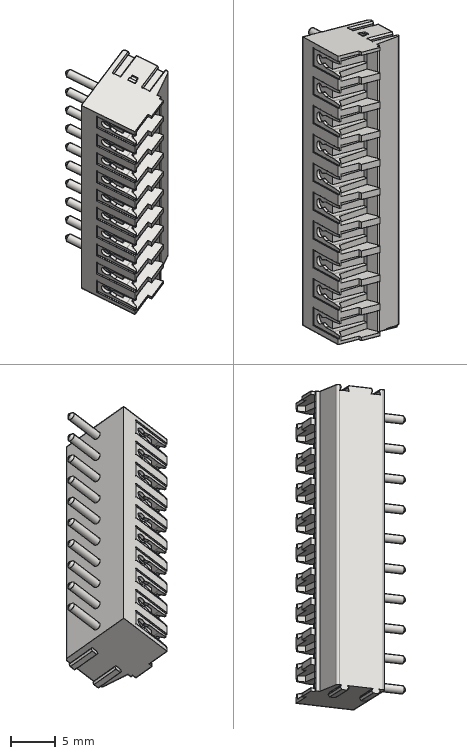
import cadquery as cq
import math


pole_count = 10
overall_length = 35.58
rib_height = 0.55
body_length = overall_length - rib_height
pitch = body_length / pole_count
body_depth = 9.15
body_width = 7.05
back_corner_radius = 0.32
back_top_x = 5.95
back_foot_x = 6.55
shoulder_y = 5.65

pin_y = 4.15
pin_length = 4.52
pin_diameter = 0.95
pin_tip_chamfer = 0.32
pin_embed = 0.7

ledge_projection = 0.5
ledge_height = 0.8
ledge_y_min = 2.8
ledge_y_max = 5.37

recess_x = 2.0
recess_height = 2.17
recess_depth = 0.18
keyhole_depth = 0.57
bulb_x = 3.1
bulb_radius = 0.57
neck_x = 3.65
neck_half = 0.35
slot_start_x = 4.35
slot_half = 0.6
flare_start_x = 5.87
flare_half = 0.75

mouth_y_min = 0.4
mouth_y_max = 5.35
near_taper = 0.4
near_taper_x = 6.2
far_taper = 0.5
far_taper_x = 5.73
throat_x = 5.12
entry_height = pitch - ledge_height

joint_x_centres = (1.17, 5.0)
joint_length = 3.45
joint_y_min = body_depth - joint_length
rib_neck_width = 0.8
rib_widest_width = 1.05
rib_tip_width = 0.7
groove_depth = 0.65
groove_mouth_width = 1.1
groove_waist_width = 0.82
groove_waist_depth = 0.25

notch_x = 3.1
notch_y = 5.75
notch_wide_width = 0.95
notch_narrow_width = 0.75
notch_step_length = 0.4
notch_length = 0.82
notch_step_depth = 0.07
notch_ramp_drop = 0.15


def prism_along_y(points, y_start, length):
    """Extrude an (x, z) outline in the +Y direction from y_start."""
    plane = cq.Plane(origin=(0, y_start, 0), xDir=(1, 0, 0), normal=(0, -1, 0))
    return cq.Workplane(plane).polyline(points).close().extrude(-length)


def make_housing():
    outline = [
        (0, 0),
        (body_width, 0),
        (body_width, shoulder_y),
        (back_foot_x, shoulder_y),
        (back_top_x, body_depth),
        (0, body_depth),
    ]
    housing = cq.Workplane("XY").polyline(outline).close().extrude(body_length)
    return housing.edges("|Z and >Y").fillet(back_corner_radius)


def make_pin(z):
    pin = (
        cq.Workplane("YZ", origin=(-pin_length, pin_y, z))
        .circle(pin_diameter / 2)
        .extrude(pin_length + pin_embed)
    )
    return pin.faces("<X").chamfer(pin_tip_chamfer)


def make_ledge(z):
    """Ledge centred on a pole boundary, cut off at the ends of the housing."""
    z_min = max(z - ledge_height / 2, 0)
    z_max = min(z + ledge_height / 2, body_length)
    return cq.Workplane("XY").box(
        ledge_projection, ledge_y_max - ledge_y_min, z_max - z_min, centered=False
    ).translate((body_width, ledge_y_min, z_min))


def make_keyhole(z, depth):
    """Keyhole cut into the front and open toward +X."""
    bulb_end_x = bulb_x + math.sqrt(bulb_radius**2 - neck_half**2)
    plane = cq.Plane(origin=(0, 0, z), xDir=(1, 0, 0), normal=(0, -1, 0))
    return (
        cq.Workplane(plane)
        .moveTo(bulb_end_x, neck_half)
        .lineTo(neck_x, neck_half)
        .lineTo(slot_start_x, slot_half)
        .lineTo(flare_start_x, slot_half)
        .lineTo(body_width, flare_half)
        .lineTo(body_width, -flare_half)
        .lineTo(flare_start_x, -slot_half)
        .lineTo(slot_start_x, -slot_half)
        .lineTo(neck_x, -neck_half)
        .lineTo(bulb_end_x, -neck_half)
        .threePointArc((bulb_x - bulb_radius, 0), (bulb_end_x, neck_half))
        .close()
        .extrude(-depth)
    )


def make_recess(z):
    return cq.Workplane("XY").box(
        body_width - recess_x, recess_depth, recess_height, centered=False
    ).translate((recess_x, 0, z - recess_height / 2))


def make_wire_entry(z):
    """Tapered entry from the +X side, joined to the front by a narrow throat along the keyhole."""
    throat_y_max = mouth_y_max - far_taper
    funnel_outline = [
        (near_taper_x, mouth_y_min + near_taper),
        (body_width, mouth_y_min),
        (body_width, mouth_y_max),
        (far_taper_x, throat_y_max),
    ]
    funnel = (
        cq.Workplane("XY", origin=(0, 0, z))
        .polyline(funnel_outline)
        .close()
        .extrude(entry_height / 2, both=True)
    )
    throat_reach = cq.Workplane("XY").box(
        body_width - throat_x, throat_y_max, pitch, centered=False
    ).translate((throat_x, 0, z - pitch / 2))
    throat = make_keyhole(z, throat_y_max).intersect(throat_reach)
    return funnel.union(throat)


def make_joint(x, z_levels, widths):
    """Symmetric three-level joint profile centred on x, running to the back."""
    levels = list(zip(z_levels, widths))
    left = [(x - width / 2, z) for z, width in levels]
    right = [(x + width / 2, z) for z, width in reversed(levels)]
    return prism_along_y(left + right, joint_y_min, joint_length)


def make_rib(x):
    z_levels = (0, -rib_height / 2, -rib_height)
    return make_joint(x, z_levels, (rib_neck_width, rib_widest_width, rib_tip_width))


def make_groove(x):
    z_levels = (body_length, body_length - groove_waist_depth, body_length - groove_depth)
    return make_joint(x, z_levels, (groove_mouth_width, groove_waist_width, groove_mouth_width))


def make_notch():
    """Shallow wide step followed by a narrower ramp that deepens toward the back."""
    step_z = body_length - notch_step_depth
    step = cq.Workplane("XY").box(
        notch_wide_width, notch_step_length, notch_step_depth, centered=False
    ).translate((notch_x - notch_wide_width / 2, notch_y, step_z))
    ramp_start_y = notch_y + notch_step_length
    ramp_end_y = notch_y + notch_length
    ramp_outline = [
        (ramp_start_y, body_length),
        (ramp_start_y, step_z),
        (ramp_end_y, step_z - notch_ramp_drop),
        (ramp_end_y, body_length),
    ]
    ramp = (
        cq.Workplane("YZ", origin=(notch_x, 0, 0))
        .polyline(ramp_outline)
        .close()
        .extrude(notch_narrow_width / 2, both=True)
    )
    return step.union(ramp)


result = make_housing()

for pole in range(pole_count):
    pole_z = (pole + 0.5) * pitch
    result = result.cut(make_recess(pole_z))
    result = result.cut(make_keyhole(pole_z, keyhole_depth))
    result = result.cut(make_wire_entry(pole_z))
    result = result.union(make_pin(pole_z))

for boundary in range(pole_count + 1):
    result = result.union(make_ledge(boundary * pitch))

for joint_x in joint_x_centres:
    result = result.union(make_rib(joint_x))
    result = result.cut(make_groove(joint_x))

result = result.cut(make_notch())